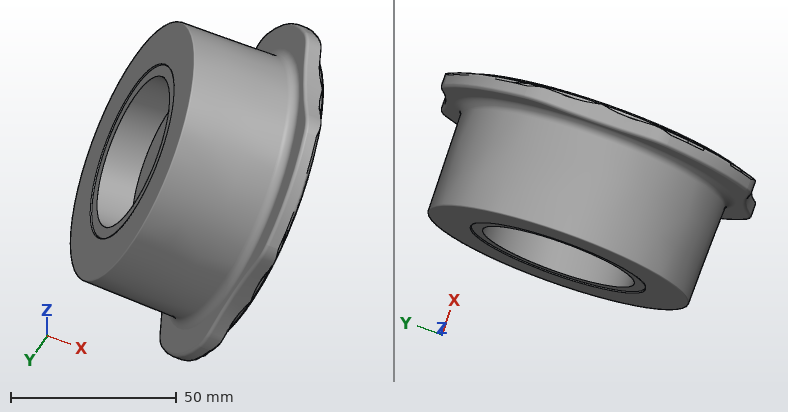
import cadquery as cq
import math

TOTAL_LENGTH = 40.5
FLANGE_FRONT = 34.0
FLANGE_BACK = 38.8

BARREL_END_RADIUS = 41.7
BARREL_ROOT_RADIUS = 42.3
BARREL_EDGE_FILLET = 0.4
ROOT_FILLET = 2.8

BORE_DIAMETER = 48.5
BORE_DEPTH = 12.3
RECESS_DIAMETER = 56.2
RECESS_FLOOR_DIAMETER = 55.7
RECESS_DEPTH = 0.4

DISC_RADIUS = 96.0 / 2
DISC_COVE = 1.2
DISC_EDGE_FILLET = 0.4

FLANGE_WIDTH = 99.1
LOBE_RADIUS = 53.5
NOTCH_DISTANCE = DISC_RADIUS
CORNER_RADIUS = 11.9
FRONT_EDGE_FILLET = 1.0
BACK_EDGE_FILLET = 1.0
NOTCH_COUNT = 4


def on_circle(center, radius, angle):
    return (center[0] + radius * math.cos(angle), center[1] + radius * math.sin(angle))


def rotated(point, angle):
    c = math.cos(angle)
    s = math.sin(angle)
    return (c * point[0] - s * point[1], s * point[0] + c * point[1])


def flange_outline():
    """Four lobes joined by four shallow concave notches, with tangent corner arcs."""
    corner_y = FLANGE_WIDTH / 2 - CORNER_RADIUS
    corner_x = math.sqrt((LOBE_RADIUS - CORNER_RADIUS) ** 2 - corner_y ** 2)
    corner = (corner_x, corner_y)

    drop = NOTCH_DISTANCE - corner_y
    notch_radius = (corner_x ** 2 + drop ** 2 - CORNER_RADIUS ** 2) / (2 * (CORNER_RADIUS - drop))
    notch_center_y = NOTCH_DISTANCE + notch_radius

    lobe_angle = math.atan2(corner_y, corner_x)
    notch_angle = math.atan2(notch_center_y - corner_y, -corner_x)
    lobe_end = on_circle(corner, CORNER_RADIUS, lobe_angle)
    corner_mid = on_circle(corner, CORNER_RADIUS, (lobe_angle + notch_angle) / 2)
    notch_start = on_circle(corner, CORNER_RADIUS, notch_angle)
    lobe_mid = on_circle((0, 0), LOBE_RADIUS, math.pi / 4)

    def mirrored(point):
        return (-point[0], point[1])

    lobe_start = (lobe_end[1], lobe_end[0])
    outline = cq.Workplane("YZ").moveTo(*lobe_start)
    for i in range(NOTCH_COUNT):
        turn = 2 * math.pi * i / NOTCH_COUNT
        arcs = [
            (lobe_mid, lobe_end),
            (corner_mid, notch_start),
            ((0, NOTCH_DISTANCE), mirrored(notch_start)),
            (mirrored(corner_mid), mirrored(lobe_end)),
        ]
        for middle, end in arcs:
            outline = outline.threePointArc(rotated(middle, turn), rotated(end, turn))
    return outline.close()


def flange():
    """Lobed plate whose back is turned to a rounded rim and a raised disc."""
    plate = flange_outline().extrude(TOTAL_LENGTH - FLANGE_FRONT)
    plate = plate.faces("<X").edges().fillet(FRONT_EDGE_FILLET)
    plate = plate.translate((FLANGE_FRONT, 0, 0))

    diagonal = math.sqrt(0.5)
    cove_end = FLANGE_BACK + DISC_COVE
    cove_mid = (cove_end - DISC_COVE * diagonal, DISC_RADIUS + DISC_COVE * (1 - diagonal))
    rim_mid = (
        FLANGE_BACK - BACK_EDGE_FILLET * (1 - diagonal),
        LOBE_RADIUS - BACK_EDGE_FILLET * (1 - diagonal),
    )
    turned = (
        cq.Workplane("XY")
        .moveTo(FLANGE_FRONT, 0)
        .lineTo(FLANGE_FRONT, LOBE_RADIUS)
        .lineTo(FLANGE_BACK - BACK_EDGE_FILLET, LOBE_RADIUS)
        .threePointArc(rim_mid, (FLANGE_BACK, LOBE_RADIUS - BACK_EDGE_FILLET))
        .lineTo(FLANGE_BACK, DISC_RADIUS + DISC_COVE)
        .threePointArc(cove_mid, (cove_end, DISC_RADIUS))
        .lineTo(TOTAL_LENGTH, DISC_RADIUS)
        .lineTo(TOTAL_LENGTH, 0)
        .close()
        .revolve(360, (0, 0, 0), (1, 0, 0))
        .faces(">X")
        .edges()
        .fillet(DISC_EDGE_FILLET)
    )
    return plate.intersect(turned)


def barrel():
    """Slightly tapered plug with a rounded end edge and a cove at the flange."""
    fillet_start = FLANGE_FRONT - ROOT_FILLET
    cove_inset = ROOT_FILLET * math.sqrt(0.5)
    cove_mid = (fillet_start + cove_inset, BARREL_ROOT_RADIUS + ROOT_FILLET - cove_inset)
    overlap = (FLANGE_BACK - FLANGE_FRONT) / 2
    body = (
        cq.Workplane("XY")
        .lineTo(0, BARREL_END_RADIUS)
        .lineTo(fillet_start, BARREL_ROOT_RADIUS)
        .threePointArc(cove_mid, (FLANGE_FRONT, BARREL_ROOT_RADIUS + ROOT_FILLET))
        .lineTo(FLANGE_FRONT + overlap, BARREL_ROOT_RADIUS + ROOT_FILLET)
        .lineTo(FLANGE_FRONT + overlap, 0)
        .close()
        .revolve(360, (0, 0, 0), (1, 0, 0))
    )
    return body.faces("<X").edges().fillet(BARREL_EDGE_FILLET)


def recess():
    """Shallow circular recess in the barrel end with a sloping wall."""
    return (
        cq.Workplane("XY")
        .lineTo(0, RECESS_DIAMETER / 2)
        .lineTo(RECESS_DEPTH, RECESS_FLOOR_DIAMETER / 2)
        .lineTo(RECESS_DEPTH, 0)
        .close()
        .revolve(360, (0, 0, 0), (1, 0, 0))
    )


def bore():
    """Blind round hole from the barrel end."""
    return cq.Workplane("YZ").circle(BORE_DIAMETER / 2).extrude(BORE_DEPTH)


result = barrel().union(flange()).cut(recess()).cut(bore())